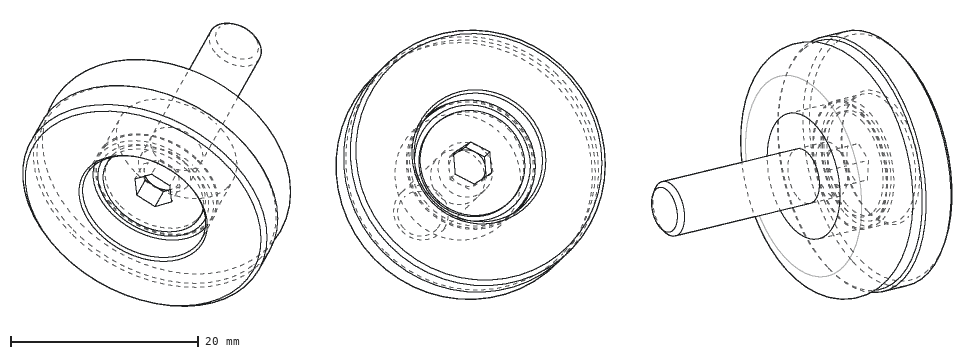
import cadquery as cq
import math

outer_diameter = 28.0

disc_thickness = 4.0
disc_front_chamfer = 0.5
disc_rear_chamfer = 0.3
disc_bore_diameter = 14.1
disc_bore_chamfer = 0.3

tyre_width = 6.0
tyre_rim_radius = tyre_width / 2
tyre_front = disc_thickness
tyre_rear = tyre_front + tyre_width

hub_diameter = 13.8
hub_front = 3.03
countersink_diameter = 12.7

screw_length = 25.0
screw_diameter = 6.0
screw_tip_chamfer = 0.55
head_diameter = 11.5
socket_width = 4.0
socket_depth = 2.5
socket_turn = 5.0
socket_cone_half_angle = 60.0

head_front = hub_front
head_land = (countersink_diameter - head_diameter) / 2
head_height = (countersink_diameter - screw_diameter) / 2
head_rear = head_front + head_height
screw_end = head_front + screw_length


def turned(profile):
    """Revolve a closed (radius, Y) profile about the Y axis."""
    return profile.close().revolve(360, (0, 0, 0), (0, 1, 0))


def make_disc():
    outer = outer_diameter / 2
    bore = disc_bore_diameter / 2
    return turned(
        cq.Workplane("XY")
        .moveTo(bore + disc_bore_chamfer, 0)
        .lineTo(outer - disc_front_chamfer, 0)
        .lineTo(outer, disc_front_chamfer)
        .lineTo(outer, disc_thickness - disc_rear_chamfer)
        .lineTo(outer - disc_rear_chamfer, disc_thickness)
        .lineTo(bore, disc_thickness)
        .lineTo(bore, disc_bore_chamfer)
    )


def make_tyre():
    outer = outer_diameter / 2
    bore = hub_diameter / 2
    rim_centre = outer - tyre_rim_radius
    return turned(
        cq.Workplane("XY")
        .moveTo(bore, tyre_front)
        .lineTo(rim_centre, tyre_front)
        .threePointArc((outer, tyre_front + tyre_rim_radius), (rim_centre, tyre_rear))
        .lineTo(bore, tyre_rear)
    )


def make_hub():
    outer = hub_diameter / 2
    hole = screw_diameter / 2
    return turned(
        cq.Workplane("XY")
        .moveTo(countersink_diameter / 2, hub_front)
        .lineTo(outer, hub_front)
        .lineTo(outer, tyre_rear)
        .lineTo(hole, tyre_rear)
        .lineTo(hole, head_rear)
    )


def make_socket():
    """Hexagonal key socket with a drilled, conical bottom."""
    across_corners = socket_width / math.cos(math.radians(30))
    hexagon = (
        cq.Workplane("XZ", origin=(0, head_front, 0))
        .transformed(rotate=(0, 0, 90 + socket_turn))
        .polygon(6, across_corners)
        .extrude(-socket_depth)
    )
    cone_radius = socket_width / 2
    cone_base = head_front + socket_depth
    cone_depth = cone_radius / math.tan(math.radians(socket_cone_half_angle))
    cone = turned(
        cq.Workplane("XY")
        .moveTo(0, cone_base)
        .lineTo(cone_radius, cone_base)
        .lineTo(0, cone_base + cone_depth)
    )
    return hexagon.union(cone)


def make_screw():
    shank = screw_diameter / 2
    blank = turned(
        cq.Workplane("XY")
        .moveTo(0, head_front)
        .lineTo(head_diameter / 2, head_front)
        .lineTo(head_diameter / 2, head_front + head_land)
        .lineTo(shank, head_rear)
        .lineTo(shank, screw_end - screw_tip_chamfer)
        .lineTo(shank - screw_tip_chamfer, screw_end)
        .lineTo(0, screw_end)
    )
    return blank.cut(make_socket())


disc = make_disc()
tyre = make_tyre()
hub = make_hub()
screw = make_screw()

result = cq.Compound.makeCompound([disc.val(), tyre.val(), hub.val(), screw.val()])